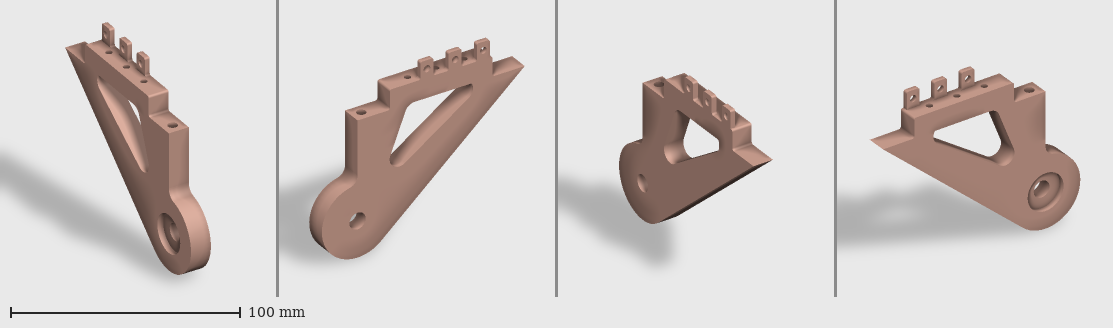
import cadquery as cq
import math

thickness = 10.2
pivot_radius = 18.5
tip_x = pivot_radius - 104.9
shoulder_z = 50.8
neck_fillet = 5.0

deck_left = -69.8
deck_right = -16.8
deck_z = 60.9
deck_fillet = 1.0

tab_count = 3
tab_pitch = 14.6
first_tab_x = -65.0
tab_width = 6.7
tab_thickness = 2.5
tab_top_z = 69.8
tab_fillet = 0.9
tab_hole_z = 65.4
tab_hole_diameter = 3.5

deck_hole_offset = 6.8
deck_hole_diameter = 3.3
shoulder_hole_x = -5.1
shoulder_hole_diameter = 4.6
shoulder_hole_depth = 15.0

bore_diameter = 8.4
counterbore_diameter = 19.1
counterbore_depth = 3.0

window_radius = 5.0
window_left = (-54.6, 48.0)
window_bottom = (-21.6, 25.7)
window_right = (-29.5, 45.7)


def on_circle(angle):
    return (pivot_radius * math.cos(angle), pivot_radius * math.sin(angle))


def make_plate():
    tip_distance = math.hypot(tip_x, shoulder_z)
    tip_direction = math.atan2(shoulder_z, tip_x)
    lower_tangent = on_circle(tip_direction + math.acos(pivot_radius / tip_distance))

    neck_center_z = math.sqrt((pivot_radius + neck_fillet) ** 2 - neck_fillet**2)
    neck_angle = math.atan2(neck_center_z, neck_fillet)
    neck_middle_angle = math.pi + neck_angle / 2
    neck_middle = (
        neck_fillet + neck_fillet * math.cos(neck_middle_angle),
        neck_center_z + neck_fillet * math.sin(neck_middle_angle),
    )

    outline = (
        cq.Workplane("XZ")
        .moveTo(tip_x, shoulder_z)
        .lineTo(deck_left, shoulder_z)
        .lineTo(deck_left, deck_z)
        .lineTo(deck_right, deck_z)
        .lineTo(deck_right, shoulder_z)
        .lineTo(0, shoulder_z)
        .lineTo(0, neck_center_z)
        .threePointArc(neck_middle, on_circle(neck_angle))
        .threePointArc((pivot_radius, 0), lower_tangent)
        .close()
    )
    plate = outline.extrude(thickness)
    for x in (deck_left, deck_right):
        for z in (shoulder_z, deck_z):
            corner = cq.selectors.NearestToPointSelector((x, -thickness / 2, z))
            plate = plate.edges("|Y").edges(corner).fillet(deck_fillet)
    return plate


def make_tab(x, has_left_foot):
    half_width = tab_width / 2
    foot = half_width + tab_fillet
    foot_z = deck_z + tab_fillet
    bend = tab_fillet * (1 - math.sqrt(0.5))
    tab = cq.Workplane("XZ")
    if has_left_foot:
        tab = tab.moveTo(x - foot, deck_z).threePointArc(
            (x - half_width - bend, deck_z + bend), (x - half_width, foot_z)
        )
    else:
        tab = tab.moveTo(x - half_width, deck_z)
    tab = (
        tab.lineTo(x - half_width, tab_top_z)
        .lineTo(x + half_width, tab_top_z)
        .lineTo(x + half_width, foot_z)
        .threePointArc((x + half_width + bend, deck_z + bend), (x + foot, deck_z))
        .close()
        .extrude(tab_thickness)
    )
    top_corners = tab.faces(">Z").edges("|Y")
    tab = top_corners.fillet(tab_fillet)
    hole = (
        cq.Workplane("XZ")
        .center(x, tab_hole_z)
        .circle(tab_hole_diameter / 2)
        .extrude(tab_thickness)
    )
    return tab.cut(hole)


def make_window():
    sketch = (
        cq.Sketch()
        .arc(window_left, window_radius, 0, 360)
        .arc(window_bottom, window_radius, 0, 360)
        .arc(window_right, window_radius, 0, 360)
        .hull()
    )
    window = cq.Workplane("XZ").placeSketch(sketch).extrude(thickness)
    cut_plane = cq.Workplane("XY", origin=(0, 0, shoulder_z))
    return window.copyWorkplane(cut_plane).split(keepBottom=True)


def vertical_hole(x, top_z, diameter, depth):
    return (
        cq.Workplane("XY", origin=(x, -thickness / 2, top_z))
        .circle(diameter / 2)
        .extrude(-depth)
    )


def make_pivot_bore():
    bore = cq.Workplane("XZ").circle(bore_diameter / 2).extrude(thickness)
    counterbore = (
        cq.Workplane("XZ", origin=(0, -thickness, 0))
        .circle(counterbore_diameter / 2)
        .extrude(-counterbore_depth)
    )
    return bore.union(counterbore)


bracket = make_plate().cut(make_window()).cut(make_pivot_bore())
for index in range(tab_count):
    tab_x = first_tab_x + index * tab_pitch
    bracket = bracket.union(make_tab(tab_x, has_left_foot=index > 0))
    hole_depth = deck_z - window_left[1]
    bracket = bracket.cut(
        vertical_hole(tab_x + deck_hole_offset, deck_z, deck_hole_diameter, hole_depth)
    )
bracket = bracket.cut(
    vertical_hole(shoulder_hole_x, shoulder_z, shoulder_hole_diameter, shoulder_hole_depth)
)

result = bracket